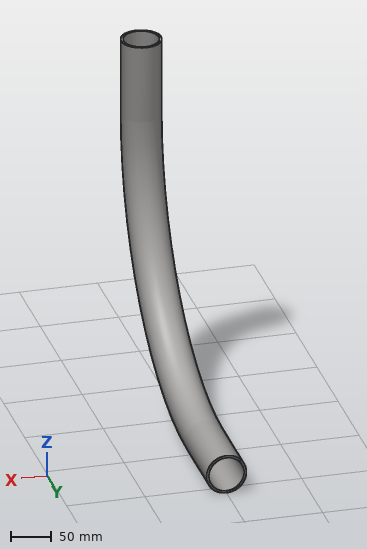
import cadquery as cq

overall_length = 432.0
outer_diameter = 51.0
inner_diameter = 45.0
straight_length = 2 * outer_diameter
bend_radius = overall_length - straight_length - outer_diameter / 2

leg_end = bend_radius + straight_length
centreline = (
    cq.Workplane("YZ")
    .moveTo(0, leg_end)
    .lineTo(0, bend_radius)
    .radiusArc((bend_radius, 0), -bend_radius)
    .lineTo(leg_end, 0)
)

ring = (
    cq.Workplane("XY", origin=(0, 0, leg_end))
    .circle(outer_diameter / 2)
    .circle(inner_diameter / 2)
)
result = ring.sweep(centreline)